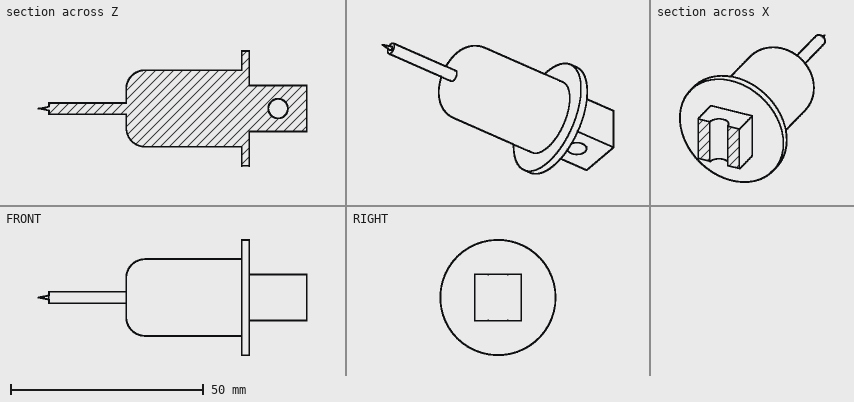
import cadquery as cq

total_length = 69.75

pin_length = 20.0
pin_diameter = 3.0
body_length = 30.0
body_diameter = 20.0
nose_radius = body_diameter / 4
flange_thickness = 2.0
flange_diameter = 30.0

lug_length = 14.9
lug_width = 12.0
hole_diameter = 5.0

tip_length = total_length - pin_length - body_length - flange_thickness - lug_length
tip_base_diameter = 1.1

tip_start = -total_length / 2
pin_start = tip_start + tip_length
body_start = pin_start + pin_length
flange_start = body_start + body_length
lug_start = flange_start + flange_thickness


def cylinder(start, length, diameter):
    """Cylinder along +X, beginning at the given station."""
    return cq.Workplane("YZ", origin=(start, 0, 0)).circle(diameter / 2).extrude(length)


def make_tip():
    """Sharp cone widening toward the pin."""
    return (
        cq.Workplane("XZ")
        .moveTo(tip_start, 0)
        .lineTo(pin_start, 0)
        .lineTo(pin_start, tip_base_diameter / 2)
        .close()
        .revolve(360, (0, 0, 0), (1, 0, 0))
    )


def make_body():
    """Cylindrical body with a rounded nose."""
    return cylinder(body_start, body_length, body_diameter).faces("<X").edges().fillet(nose_radius)


def make_lug():
    """Square lug with a hole through its middle along Z."""
    lug = cq.Workplane("YZ", origin=(lug_start, 0, 0)).rect(lug_width, lug_width).extrude(lug_length)
    hole = (
        cq.Workplane("XY")
        .center(lug_start + lug_length / 2, 0)
        .circle(hole_diameter / 2)
        .extrude(lug_width, both=True)
    )
    return lug.cut(hole)


result = (
    make_body()
    .union(cylinder(pin_start, pin_length, pin_diameter))
    .union(make_tip())
    .union(cylinder(flange_start, flange_thickness, flange_diameter))
    .union(make_lug())
)